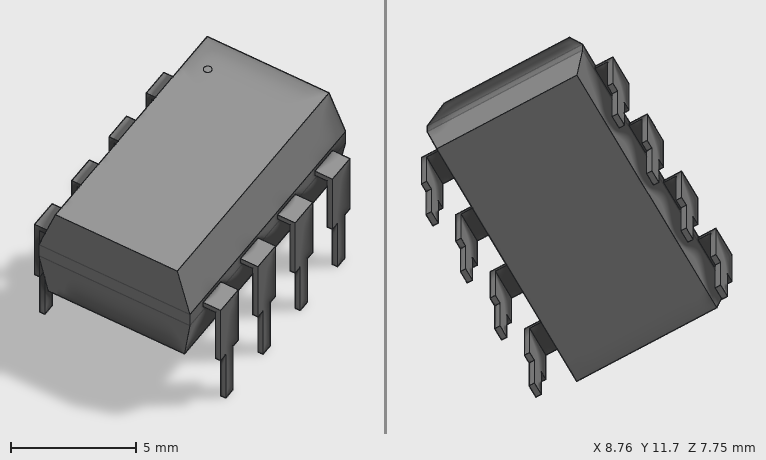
import cadquery as cq

body_width = 7.11
body_length = 11.68
top_width = 5.73
bottom_width = 6.41
end_taper = 0.15
top_length = body_length - 2 * end_taper
belt_height = 0.65
half_height = 2.02

lead_span = 8.76
lead_thickness = 0.25
leads_per_row = 4
lead_pitch = 2.79
shoulder_width = 1.32
tip_width = 0.56
shoulder_drop = 2.97
tip_length = 2.56

mark_diameter = 0.35
mark_depth = 0.1
mark_x = -1.9
mark_y = 4.19

belt_top = belt_height / 2
belt_bottom = -belt_top
body_top = belt_top + half_height
lead_top = lead_thickness / 2
shoulder_z = lead_top - shoulder_drop
lead_bottom = shoulder_z - tip_length
lead_outer_x = lead_span / 2
lead_inner_x = body_width / 2


def box(x_range, y_width, z_range):
    """Box between two X and two Z positions, centred on Y = 0."""
    x_size = x_range[1] - x_range[0]
    z_size = z_range[1] - z_range[0]
    return (
        cq.Workplane("XY")
        .box(x_size, y_width, z_size, centered=(False, True, False))
        .translate((x_range[0], 0, z_range[0]))
    )


def tapered_half(belt_face_z, height, end_width):
    """Frustum from a belt face to the smaller end face; negative height points down."""
    return (
        cq.Workplane("XY", origin=(0, 0, belt_face_z))
        .rect(body_width, body_length)
        .workplane(offset=height)
        .rect(end_width, top_length)
        .loft(ruled=True)
    )


def make_lead():
    """One bent lead on the +X side at Y = 0: an arm, a wide leg and a narrow tip."""
    leg_x = (lead_outer_x - lead_thickness, lead_outer_x)
    arm = box((lead_inner_x, lead_outer_x), shoulder_width, (lead_top - lead_thickness, lead_top))
    leg = box(leg_x, shoulder_width, (shoulder_z, lead_top))
    tip = box(leg_x, tip_width, (lead_bottom, shoulder_z))
    return arm.union(leg).union(tip)


def make_leads():
    """Both rows of leads, the second row turned half a turn about Z."""
    leads = []
    for turn in (0, 180):
        row_lead = make_lead().rotate((0, 0, 0), (0, 0, 1), turn)
        for index in range(leads_per_row):
            y = (index - (leads_per_row - 1) / 2) * lead_pitch
            leads.append(row_lead.translate((0, y, 0)))
    return leads


def make_index_mark():
    """Round disc whose upper face is level with the housing top."""
    return (
        cq.Workplane("XY", origin=(mark_x, mark_y, body_top - mark_depth))
        .circle(mark_diameter / 2)
        .extrude(mark_depth)
    )


def make_housing(index_mark):
    """Belt and both tapered halves, with a matching recess for the index mark."""
    housing = cq.Workplane("XY").box(body_width, body_length, belt_height)
    housing = housing.union(tapered_half(belt_top, half_height, top_width))
    housing = housing.union(tapered_half(belt_bottom, -half_height, bottom_width))
    return housing.cut(index_mark)


leads = make_leads()
index_mark = make_index_mark()
housing = make_housing(index_mark)

result = cq.Compound.makeCompound([housing.val(), index_mark.val(), *[lead.val() for lead in leads]])